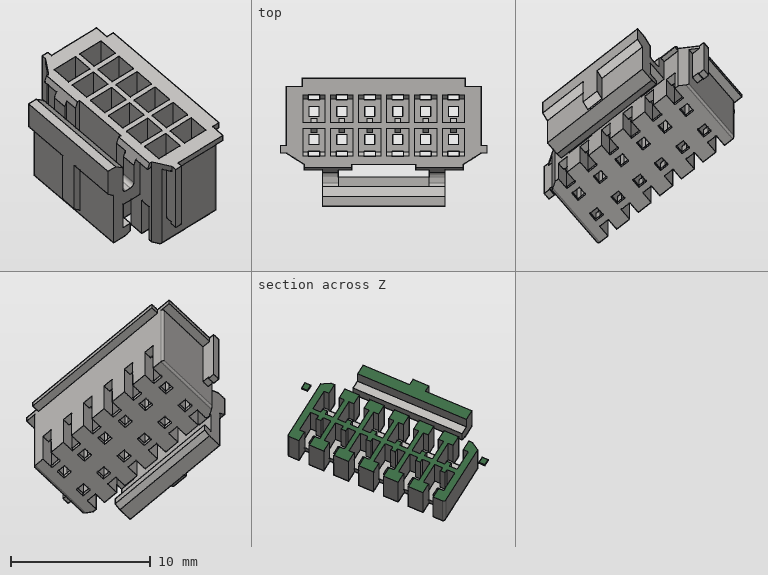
import cadquery as cq

height = 8.3
body_half_width = 6.35
body_half_depth = 2.8
front_half_width = 5.7
corner_start_y = -2.39
body_edge_radius = 0.18

rim_thickness = 0.53
rim_bottom = height - rim_thickness
rim_half_width = 7.0
rim_corner_y = -1.98
rim_back_y = 3.4
rim_back_half_width = 5.85

guide_half_width = 7.4
guide_back_y = -1.43
guide_bottom = 2.3
guide_notch_half_width = 6.9
guide_notch_top = 2.5

pitch = 2.0
columns = 6
cavity_wall = 0.4
cavity_width = pitch - cavity_wall
cavity_depth = 2.0
cavity_inner_y = cavity_wall / 2
cavity_outer_y = cavity_inner_y + cavity_depth
floor_thickness = 0.4
pin_hole_size = 0.7
slot_width = 0.8
slot_height = 3.42
slot_reach = 0.35
slot_inner_y = cavity_outer_y - slot_reach
ledge_depth = 0.3
ledge_top = 3.72
key_width = 0.4
key_depth = 0.3
key_top = 3.72
ramp_height = 0.3

bevel_top_y = -3.0
pad_front_y = -3.37
bevel_drop = 1.02
lip_front_y = bevel_top_y + (pad_front_y - bevel_top_y) * rim_thickness / bevel_drop
pad_inner_x = 2.28
arm_inner_x = 3.25
arm_bottom = 3.91
arm_top = 5.16
arm_corner_radius = 0.25
right_wall_corner_radius = 0.34

latch_half_width = 4.4
latch_back_y = -4.37
latch_front_y = -5.8
latch_bottom = 0.53
latch_lead_in_y = 0.71
latch_lead_in_z = 0.6
relief_depth = 0.53
relief_top = 5.95
stem_width = 1.3
stem_bottom = 1.45
hook_back_y = -3.69
hook_top = 1.52
hook_bottom = 0.75
hook_chamfer_y = -4.19


def box(x_range, y_range, z_range):
    """Box between the given limits on each axis."""
    size = [high - low for low, high in (x_range, y_range, z_range)]
    corner = (x_range[0], y_range[0], z_range[0])
    return cq.Workplane("XY").box(*size, centered=False).translate(corner)


def prism_along_x(points, x_low, x_high):
    """Extrude a (y, z) outline from x_low to x_high."""
    profile = cq.Workplane("YZ", origin=(x_low, 0, 0)).polyline(points).close()
    return profile.extrude(x_high - x_low)


def mirror_rows(solid):
    """Copy a feature of the back row to the front row."""
    return solid.union(solid.mirror("XZ"))


def mirror_sides(solid):
    """Copy a feature of the +X side to the -X side."""
    return solid.union(solid.mirror("YZ"))


def make_body():
    """Block with chamfered front corners and rounded side edges."""
    outline = [
        (-body_half_width, body_half_depth),
        (body_half_width, body_half_depth),
        (body_half_width, corner_start_y),
        (front_half_width, -body_half_depth),
        (-front_half_width, -body_half_depth),
        (-body_half_width, corner_start_y),
    ]
    body = cq.Workplane("XY").polyline(outline).close().extrude(height)
    back_edges = body.edges("|Z and >Y")
    bottom_side_edges = body.edges("<Z").edges("|Y")
    return body.newObject(back_edges.vals() + bottom_side_edges.vals()).fillet(body_edge_radius)


def make_rim():
    """Flange around the top, stepped out further at the back."""
    outline = [
        (-rim_half_width, body_half_depth),
        (-rim_back_half_width, body_half_depth),
        (-rim_back_half_width, rim_back_y),
        (rim_back_half_width, rim_back_y),
        (rim_back_half_width, body_half_depth),
        (rim_half_width, body_half_depth),
        (rim_half_width, rim_corner_y),
        (front_half_width, -body_half_depth),
        (-front_half_width, -body_half_depth),
        (-rim_half_width, rim_corner_y),
    ]
    rim = cq.Workplane("XY", origin=(0, 0, rim_bottom))
    return rim.polyline(outline).close().extrude(rim_thickness)


def make_guide_ribs():
    """Vertical rib on each side, notched at the bottom next to the body."""
    y_range = (rim_corner_y, guide_back_y)
    inner = box((0, guide_notch_half_width), y_range, (guide_notch_top, height))
    outer = box((guide_notch_half_width, guide_half_width), y_range, (guide_bottom, height))
    return mirror_sides(inner.union(outer))


def make_cavity(x):
    """Cutter for a cavity in each row at x, with its pin hole and wall slot."""
    half_cavity = cavity_width / 2
    cavity = box(
        (x - half_cavity, x + half_cavity),
        (cavity_inner_y, cavity_outer_y),
        (floor_thickness, height),
    )
    ledge = prism_along_x(
        [
            (cavity_outer_y, 0),
            (cavity_outer_y - ledge_depth, 0),
            (cavity_outer_y - ledge_depth, ledge_top),
            (cavity_outer_y, ledge_top + ramp_height),
        ],
        x - half_cavity,
        x + half_cavity,
    )
    ledge_gap = box(
        (x - slot_width / 2, x + slot_width / 2),
        (slot_inner_y, cavity_outer_y),
        (0, ledge_top + ramp_height),
    )
    key = prism_along_x(
        [
            (cavity_inner_y, 0),
            (cavity_inner_y + key_depth, 0),
            (cavity_inner_y + key_depth, key_top),
            (cavity_inner_y, key_top + ramp_height),
        ],
        x - key_width / 2,
        x + key_width / 2,
    )
    wall_slot = box(
        (x - slot_width / 2, x + slot_width / 2),
        (slot_inner_y, body_half_depth),
        (0, slot_height),
    )
    half_hole = pin_hole_size / 2
    pin_y = pitch / 2
    pin_hole = box(
        (x - half_hole, x + half_hole),
        (pin_y - half_hole, pin_y + half_hole),
        (0, floor_thickness),
    )
    cutter = cavity.cut(ledge.cut(ledge_gap)).cut(key).union(wall_slot).union(pin_hole)
    return mirror_rows(cutter)


def make_pads():
    """Bevelled lip and pads on the front wall."""
    lip = prism_along_x(
        [
            (-body_half_depth, height),
            (bevel_top_y, height),
            (lip_front_y, rim_bottom),
            (-body_half_depth, rim_bottom),
        ],
        pad_inner_x,
        front_half_width,
    )
    pad = box((pad_inner_x, arm_inner_x), (lip_front_y, -body_half_depth), (arm_bottom, rim_bottom))
    return mirror_sides(lip.union(pad))


def make_arms():
    """Two arms joining the front wall to the latch plate, with a rounded notch above."""
    outline = [
        (-body_half_depth, height),
        (bevel_top_y, height),
        (pad_front_y, height - bevel_drop),
        (pad_front_y, arm_top),
        (latch_back_y, arm_top),
        (latch_back_y, arm_bottom),
        (-body_half_depth, arm_bottom),
    ]
    arm = prism_along_x(outline, arm_inner_x, latch_half_width)
    return mirror_sides(arm)


def make_latch():
    """Latch plate with a hook at the bottom and a T-shaped raised face."""
    face_y = latch_front_y + relief_depth
    outline = [
        (latch_front_y, height),
        (latch_back_y - latch_lead_in_y, height),
        (latch_back_y, height - latch_lead_in_z),
        (latch_back_y, hook_top),
        (hook_back_y, hook_top),
        (hook_back_y, hook_bottom),
        (hook_chamfer_y, latch_bottom),
        (face_y, latch_bottom),
        (face_y, relief_top - relief_depth),
        (latch_front_y, relief_top),
    ]
    stem_outline = [
        (face_y, relief_top),
        (latch_front_y, relief_top),
        (latch_front_y, stem_bottom),
        (face_y, stem_bottom - relief_depth),
    ]
    plate = prism_along_x(outline, -latch_half_width, latch_half_width)
    stem = prism_along_x(stem_outline, -stem_width / 2, stem_width / 2)
    return plate.union(stem)


def round_corners(solid, x_range, y, radius):
    """Round the notch-bottom edges lying at the given y within x_range."""
    tolerance = 0.01
    corners = cq.selectors.BoxSelector(
        (x_range[0] - tolerance, y - tolerance, arm_top - tolerance),
        (x_range[1] + tolerance, y + tolerance, arm_top + tolerance),
    )
    return solid.edges("|X").edges(corners).fillet(radius)


def make_latch_assembly():
    """Arms and latch with the notch corners rounded, wider at the wall of the +X arm."""
    assembly = make_arms().union(make_latch())
    right_arm = (arm_inner_x, latch_half_width)
    left_arm = (-latch_half_width, -arm_inner_x)
    assembly = round_corners(assembly, left_arm, pad_front_y, arm_corner_radius)
    assembly = round_corners(assembly, right_arm, pad_front_y, right_wall_corner_radius)
    for arm in (left_arm, right_arm):
        assembly = round_corners(assembly, arm, latch_back_y, arm_corner_radius)
    return assembly


housing = make_body().union(make_rim()).union(make_guide_ribs())
housing = housing.union(make_pads()).union(make_latch_assembly())
for column in range(columns):
    cavity_x = (column - (columns - 1) / 2) * pitch
    housing = housing.cut(make_cavity(cavity_x))
result = housing